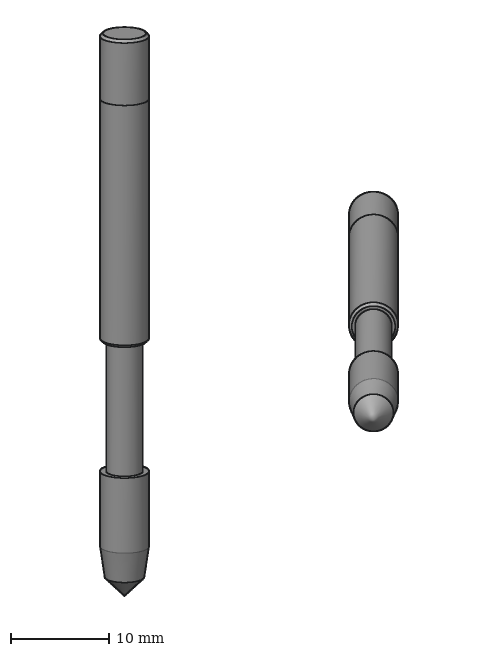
import cadquery as cq

total_length = 59.8
cap_height = 6.95
cap_bottom = total_length - cap_height
barrel_bottom = 27.1
head_top = 13.3
taper_start = 5.3

body_radius = 5.0 / 2
stem_radius = 3.75 / 2
tip_radius = 2.05
tip_height = tip_radius
chamfer = 0.3
chamfer_radius = body_radius - chamfer


def revolve_profile(points):
    """Revolve a closed (radius, height) outline around the Z axis."""
    return cq.Workplane("XZ").polyline(points).close().revolve(360, (0, 0, 0), (0, 1, 0))


def make_probe():
    """Barrel, narrower stem and tapered head with a conical point, in one piece."""
    return revolve_profile([
        (0, 0),
        (tip_radius, tip_height),
        (body_radius, taper_start),
        (body_radius, head_top),
        (stem_radius, head_top),
        (stem_radius, barrel_bottom),
        (chamfer_radius, barrel_bottom),
        (body_radius, barrel_bottom + chamfer),
        (body_radius, cap_bottom),
        (0, cap_bottom),
    ])


def make_cap():
    """End cap, flush with the barrel and chamfered around its free end."""
    return revolve_profile([
        (0, cap_bottom),
        (body_radius, cap_bottom),
        (body_radius, total_length - chamfer),
        (chamfer_radius, total_length),
        (0, total_length),
    ])


probe = make_probe()
cap = make_cap()
result = cq.Compound.makeCompound([probe.val(), cap.val()])